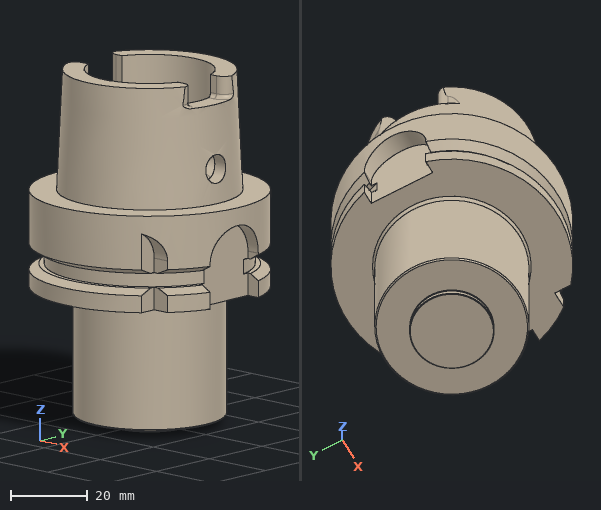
import cadquery as cq
import math

total_height = 94.3
flange_top = 62.2
flange_bottom = 36.5
groove_top = 46.4
groove_bottom = 42.5
groove_bevel_height = 1.5
groove_bevel_angle = math.radians(30)
shank_bottom = 2.4
pilot_rim_height = 1.8

flange_radius = 62.9 / 2
groove_radius = 27.4
shank_radius = 40.1 / 2
pilot_radius = 22.0 / 2
pilot_neck_radius = 10.8
taper_base_radius = 24.2
taper_top_radius = 22.7
collar_height = 1.2
collar_width = 0.6
edge_break = 0.4
pilot_edge_break = 0.2

bore_radius = 34.0 / 2
undercut_radius = 40.0 / 2
floor_radius = 15.8
bore_depth = 12.9
undercut_end_depth = 25.3

cross_hole_diameter = 7.5
cross_hole_height = 71.4

deep_slot_half_width = 6.3
shallow_slot_half_width = 6.1
mouth_radius = 2.8
flat_distance = 23.0
flat_length = 11.3
deep_slot_depth = 10.2
shallow_slot_depth = 5.9
shallow_floor_fillet = 1.1

keyway_half_width = 9.1
keyway_floor = 26.4
keyway_top = 57.5
notch_floor = 19.9
notch_side = 19.5
notch_top = 58.1
notch_arc_radius = 7.8

oversize = 37.7


def turned_body():
    lip_radius = flange_radius - groove_bevel_height / math.tan(groove_bevel_angle)
    outline = [
        (0, 0),
        (pilot_radius - pilot_edge_break, 0),
        (pilot_radius, pilot_edge_break),
        (pilot_radius, pilot_rim_height),
        (pilot_neck_radius, pilot_rim_height),
        (pilot_neck_radius, shank_bottom),
        (shank_radius - edge_break, shank_bottom),
        (shank_radius, shank_bottom + edge_break),
        (shank_radius, flange_bottom - collar_height),
        (shank_radius + collar_width, flange_bottom),
        (flange_radius, flange_bottom),
        (flange_radius, groove_bottom - groove_bevel_height),
        (lip_radius, groove_bottom),
        (groove_radius, groove_bottom),
        (groove_radius, groove_top),
        (lip_radius, groove_top),
        (flange_radius, groove_top + groove_bevel_height),
        (flange_radius, flange_top),
        (taper_base_radius, flange_top),
        (taper_top_radius, total_height),
        (0, total_height),
    ]
    return cq.Workplane("XZ").polyline(outline).close().revolve(360, (0, 0, 0), (0, 1, 0))


def bore():
    bore_end = total_height - bore_depth
    undercut_end = total_height - undercut_end_depth
    corner_radius = undercut_radius - floor_radius
    floor_height = undercut_end - corner_radius
    return (
        cq.Workplane("XZ")
        .moveTo(0, floor_height)
        .lineTo(floor_radius, floor_height)
        .radiusArc((undercut_radius, undercut_end), -corner_radius)
        .lineTo(undercut_radius, bore_end)
        .lineTo(bore_radius, bore_end)
        .lineTo(bore_radius, total_height)
        .lineTo(0, total_height)
        .close()
        .revolve(360, (0, 0, 0), (0, 1, 0))
    )


def drive_slot(depth, half_width, floor_fillet=0):
    """Slot open towards +X, with rounded corners running into flats beside the slot."""
    center_y = half_width + mouth_radius
    flat_angle = math.asin(center_y / (flat_distance - mouth_radius))
    center_x = center_y / math.tan(flat_angle)
    mid_angle = (flat_angle - math.pi / 2) / 2
    mid_x = center_x + mouth_radius * math.cos(mid_angle)
    mid_y = center_y + mouth_radius * math.sin(mid_angle)
    tangent_x = flat_distance * math.cos(flat_angle)
    tangent_y = flat_distance * math.sin(flat_angle)
    flat_end_x = tangent_x - flat_length * math.sin(flat_angle)
    flat_end_y = tangent_y + flat_length * math.cos(flat_angle)
    slot = (
        cq.Workplane("XY", origin=(0, 0, total_height - depth))
        .moveTo(0, -half_width)
        .lineTo(center_x, -half_width)
        .threePointArc((mid_x, -mid_y), (tangent_x, -tangent_y))
        .lineTo(flat_end_x, -flat_end_y)
        .lineTo(oversize, -flat_end_y)
        .lineTo(oversize, flat_end_y)
        .lineTo(flat_end_x, flat_end_y)
        .lineTo(tangent_x, tangent_y)
        .threePointArc((mid_x, mid_y), (center_x, half_width))
        .lineTo(0, half_width)
        .close()
        .extrude(depth)
    )
    if floor_fillet:
        slot = slot.faces("<Z").edges().fillet(floor_fillet)
    return slot


def keyway():
    """Round-topped keyway with a flat floor on the +X side."""
    spring = keyway_top - keyway_half_width
    return (
        cq.Workplane("YZ", origin=(keyway_floor, 0, 0))
        .moveTo(-keyway_half_width, 0)
        .lineTo(-keyway_half_width, spring)
        .threePointArc((0, keyway_top), (keyway_half_width, spring))
        .lineTo(keyway_half_width, 0)
        .close()
        .extrude(oversize)
    )


def orientation_notch():
    """Square-cornered notch at +X, -Y with an arched upper end."""
    spring = notch_top - notch_arc_radius
    return (
        cq.Workplane("YZ", origin=(notch_floor, 0, 0))
        .moveTo(-notch_side, 0)
        .lineTo(-notch_side, spring)
        .radiusArc((-notch_side - notch_arc_radius, notch_top), -notch_arc_radius)
        .lineTo(-oversize, notch_top)
        .lineTo(-oversize, 0)
        .close()
        .extrude(oversize)
    )


def turned_half(cutter):
    return cutter.rotate((0, 0, 0), (0, 0, 1), 180)


cross_hole = (
    cq.Workplane("YZ", origin=(0, 0, cross_hole_height))
    .circle(cross_hole_diameter / 2)
    .extrude(oversize, both=True)
)

result = turned_body().cut(bore()).cut(cross_hole)
result = result.cut(drive_slot(shallow_slot_depth, shallow_slot_half_width, shallow_floor_fillet))
result = result.cut(turned_half(drive_slot(deep_slot_depth, deep_slot_half_width)))
result = result.cut(keyway()).cut(turned_half(keyway()))
result = result.cut(orientation_notch())